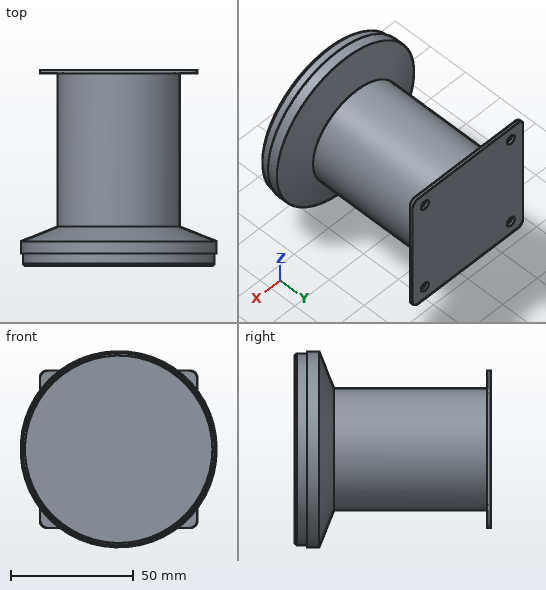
import cadquery as cq

length = 80.0

rim_diameter = 80.0
rim_width = 5.0
cap_diameter = 78.4
cap_height = 5.0
cap_chamfer = 1.0
cone_length = 6.0

column_diameter = 50.0

plate_side = 64.3
plate_thickness = 1.5
plate_corner_radius = 3.2
hole_spacing = 50.1
hole_diameter = 4.5

rim_front = cap_height
rim_back = rim_front + rim_width
cone_back = rim_back + cone_length
plate_front = length - plate_thickness


def make_turned_body():
    """Cap, rim, cone and column as one profile revolved about the Y axis."""
    cap_radius = cap_diameter / 2
    rim_radius = rim_diameter / 2
    column_radius = column_diameter / 2
    profile = [
        (0, 0),
        (cap_radius - cap_chamfer, 0),
        (cap_radius, cap_chamfer),
        (cap_radius, rim_front),
        (rim_radius, rim_front),
        (rim_radius, rim_back),
        (column_radius, cone_back),
        (column_radius, plate_front),
        (0, plate_front),
    ]
    return cq.Workplane("XY").polyline(profile).close().revolve(360, (0, 0, 0), (0, 1, 0))


def make_plate():
    """Square plate with rounded corners and a screw hole near each corner."""
    return (
        cq.Workplane("XZ", origin=(0, length, 0))
        .rect(plate_side, plate_side)
        .extrude(plate_thickness)
        .edges("|Y")
        .fillet(plate_corner_radius)
        .faces("<Y")
        .workplane()
        .rect(hole_spacing, hole_spacing, forConstruction=True)
        .vertices()
        .hole(hole_diameter)
    )


result = make_turned_body().union(make_plate())